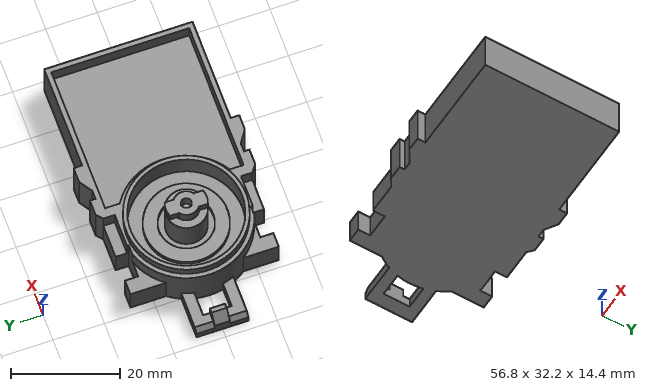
import cadquery as cq


body_height = 8.7
body_half_width = 14.4
overall_length = 56.75
overall_width = 32.2
body_right = 37.0
wall = 1.0
tray_floor = 5.6

housing_radius = 12.5
flat_half_width = 11.85
collar_outer_diameter = 23.2
collar_inner_diameter = 21.6
collar_top = 10.45
well_floor = 5.45

ring_outer_diameter = 16.0
ring_inner_diameter = 10.5
ring_top = 6.25

post_diameter = 7.95
post_top = 12.15
stem_diameter = 4.8
stem_top = 14.4
key_width = 2.9
key_bottom = 12.9
pin_hole_diameter = 2.0

step_height = 5.6
arm_left = -10.0
arm_length = 2.95
step_left = -1.95
step_half_width = 12.2

rib_half_width = 15.5
rib_ramp_end = 5.95
rib_right = 9.0
wedge_left = 10.7
wedge_ramp_end = 13.3
wedge_right = 16.25
wedge_half_width = overall_width / 2
back_rib_left = 4.75
front_rib_left = 4.4
back_pocket_left = 6.65
front_pocket_left = 6.4

latch_left = body_right - overall_length
latch_half_width = 5.05
latch_height = 2.4
latch_chamfer = 0.95
window_left = -16.95
window_half_width = 2.8
hook_half_width = 1.5
hook_top = 4.25


def box(x_min, x_max, y_min, y_max, z_min, z_max):
    """Axis-aligned block between the given limits."""
    return cq.Workplane("XY").box(
        x_max - x_min, y_max - y_min, z_max - z_min, centered=False
    ).translate((x_min, y_min, z_min))


def disc(diameter, z_min, z_max):
    """Cylinder on the spindle axis."""
    return cq.Workplane("XY", origin=(0, 0, z_min)).circle(diameter / 2).extrude(z_max - z_min)


def side_body(side, rib_left):
    """Half of the full-height body; side is +1 for the back (+Y), -1 for the front."""
    outline = [
        (step_left, 0),
        (step_left, step_half_width),
        (rib_left, step_half_width),
        (rib_left, body_half_width),
        (rib_ramp_end, rib_half_width),
        (rib_right, rib_half_width),
        (rib_right, body_half_width),
        (wedge_left, body_half_width),
        (wedge_ramp_end, wedge_half_width),
        (wedge_right, wedge_half_width),
        (wedge_right, body_half_width),
        (body_right, body_half_width),
        (body_right, 0),
    ]
    points = [(x, side * y) for x, y in outline]
    return cq.Workplane("XY").polyline(points).close().extrude(body_height)


def side_pocket(side, pocket_left):
    """Half of the tray pocket, before the housing is kept clear."""
    y_edge = side * (body_half_width - wall)
    return box(pocket_left, body_right - wall, min(0, y_edge), max(0, y_edge), tray_floor, body_height)


def latch():
    """Flat loop with a bevelled front bar and a ramped hook in its middle."""
    bar_profile = [
        (latch_left, 0),
        (latch_left, latch_height - latch_chamfer),
        (latch_left + latch_chamfer, latch_height),
        (arm_left, latch_height),
        (arm_left, 0),
    ]
    hook_profile = [
        (latch_left, 0),
        (latch_left, latch_height),
        (latch_left + hook_top - latch_height, hook_top),
        (window_left, hook_top),
        (window_left, 0),
    ]
    bar = cq.Workplane("XZ").polyline(bar_profile).close().extrude(latch_half_width, both=True)
    hook = cq.Workplane("XZ").polyline(hook_profile).close().extrude(hook_half_width, both=True)
    window = box(window_left, arm_left, -window_half_width, window_half_width, 0, latch_height)
    return bar.cut(window).union(hook)


def spindle():
    """Stepped post with a cross key on its stem and a blind pin hole."""
    post = disc(post_diameter, 0, post_top)
    stem = disc(stem_diameter, post_top, stem_top)
    key_bar = box(-key_width / 2, key_width / 2, -post_diameter, post_diameter, key_bottom, stem_top)
    key = disc(post_diameter, key_bottom, stem_top).intersect(key_bar)
    return post.union(stem).union(key).cut(disc(pin_hole_diameter, post_top, stem_top))


body = side_body(1, back_rib_left).union(side_body(-1, front_rib_left))
housing = disc(2 * housing_radius, 0, body_height)
pocket = side_pocket(1, back_pocket_left).union(side_pocket(-1, front_pocket_left))
body = body.cut(pocket.cut(housing))

flats = box(-housing_radius, housing_radius, -flat_half_width, flat_half_width, 0, body_height)
body = body.union(housing.intersect(flats))
body = body.union(disc(collar_outer_diameter, 0, collar_top))

body = body.union(box(arm_left, 0, -flat_half_width, flat_half_width, 0, step_height))
body = body.union(
    box(arm_left, arm_left + arm_length, -body_half_width, body_half_width, 0, step_height)
)
body = body.union(box(step_left, back_rib_left, 0, body_half_width, 0, step_height))
body = body.union(box(step_left, front_rib_left, -body_half_width, 0, 0, step_height))

body = body.union(latch().cut(housing))

body = body.cut(disc(collar_inner_diameter, well_floor, collar_top))
ring = disc(ring_outer_diameter, well_floor, ring_top).cut(disc(ring_inner_diameter, well_floor, ring_top))
result = body.union(ring).union(spindle())